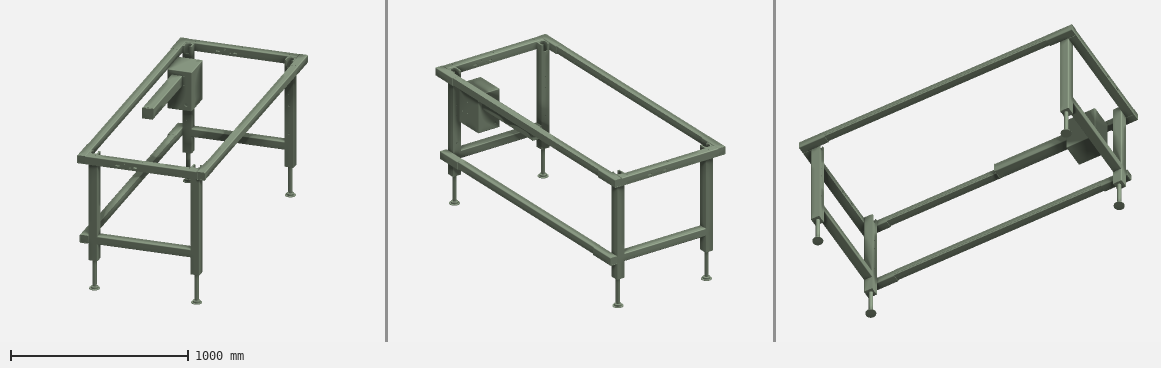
import cadquery as cq

FRAME_WIDTH = 763.0
FRAME_LENGTH = 1765.0
FRAME_HEIGHT = 840.0
EDGE_RADIUS = 5.0
HALF_WIDTH = FRAME_WIDTH / 2
HALF_LENGTH = FRAME_LENGTH / 2

SLEEVE_SIZE = 50.0
UPPER_SLEEVE_LENGTH = 166.0
LOWER_SLEEVE_LENGTH = 170.0
LOWER_SLEEVE_END = 839.0
SLEEVE_WALL = 4.0
SLEEVE_RECESS = 2.0
SLEEVE_INNER_X = HALF_WIDTH - SLEEVE_SIZE

RAIL_SIZE = 45.0
RAIL_DROP = 0.9
RAIL_LIP_HEIGHT = 12.0
LIP_INSET = 1.0
LOWER_LEVEL = 334.0

LEG_SIZE = 55.0
LEG_LIP_DEPTH = 12.0
LEG_BOTTOM = 182.0
LEG_TOP = 837.0
LEG_OUTER_Y = HALF_LENGTH - SLEEVE_SIZE
LEG_CENTER_X = SLEEVE_INNER_X - LEG_SIZE / 2
LEG_CENTER_Y = LEG_OUTER_Y - LEG_SIZE / 2
LEG_POCKET_WIDTH = 39.0
LEG_POCKET_MARGIN = 7.0
LEG_POCKET_FLOOR = 212.0
LEG_SLOT_WIDTH = 28.0
LEG_GROOVE_DEPTH = 2.0
LEG_HOLE_DIAMETER = 9.0
LEG_HOLE_HEIGHTS = [385.0, 560.0, 628.0]

FOOT_CENTER_Y = 803.0
STEM_DIAMETER = 25.0
NECK_DIAMETER = 16.0
HUB_DIAMETER = 42.0
PAD_DIAMETER = 62.0
PAD_HEIGHT = 4.0
HUB_TOP = 15.0
STEM_BOTTOM = 23.0
STEM_EMBED = 18.0
STEM_BORE = 12.0
STEM_BORE_DEPTH = 9.0

TOP_HOLE_DIAMETER = 7.0
TOP_HOLE_OFFSET = 280.0
TOP_HOLE_DEPTH = 5.0
SLOT_HEIGHT = 9.0
SLOT_Z = 810.0
SLOTS = [(-140.0, 26.0), (-35.0, 21.0)]
NOTCH_X = -97.0
NOTCH_Z = 826.0
NOTCH_HEIGHT = 12.0
NOTCH_WIDTH = 5.0
BEAM_HOLE_X = -65.0
BEAM_HOLE_Z = 807.0
BEAM_HOLE_DIAMETER = 7.0

BOX_RIGHT_X = -187.0
BOX_FRONT_Y = 526.0
BOX_BACK_Y = 713.0
BOX_BOTTOM = 556.0
BOX_TOP = 798.0
BOX_EDGE_RADIUS = 4.5
BOX_HOLE_DEPTH = 5.0
SCREW_DIAMETER = 7.0
FRONT_SCREW_X = -233.0
FRONT_SCREW_HEIGHTS = [711.0, 766.0]
PORT_X = -220.0
PORT_Z = 593.0
PORT_DIAMETER = 20.0
SIDE_SCREWS = [(632.0, 770.0), (632.0, 711.0), (681.0, 637.0), (637.0, 637.0)]

DUCT_SIZE = 65.0
DUCT_LEFT_X = -310.0
DUCT_TOP = 768.0
DUCT_END_Y = 28.0
CAP_THICKNESS = 4.0
CAP_NECK_LENGTH = 9.0
CAP_NECK_INSET = 2.0


def block(x_range, y_range, z_range):
    """Box spanning the given coordinate ranges."""
    low = [min(r) for r in (x_range, y_range, z_range)]
    size = [max(r) - min(r) for r in (x_range, y_range, z_range)]
    return cq.Workplane("XY").box(*size, centered=False).translate(tuple(low))


def bore(plane, center, diameter, depth):
    """Cylinder starting at center and running along the plane normal."""
    return cq.Workplane(plane, origin=center).circle(diameter / 2).extrude(depth)


def sleeve(outer_x, inner_x, end_y, length, top):
    """Rounded square sleeve whose outer end has a slightly recessed plug."""
    toward_middle = -1 if end_y > 0 else 1
    body = block(
        (outer_x, inner_x), (end_y, end_y + toward_middle * length), (top - SLEEVE_SIZE, top)
    ).edges("|Y").fillet(EDGE_RADIUS)
    left = min(outer_x, inner_x)
    recess = block(
        (left + SLEEVE_WALL, left + SLEEVE_SIZE - SLEEVE_WALL),
        (end_y, end_y + toward_middle * SLEEVE_RECESS),
        (top - SLEEVE_SIZE + SLEEVE_WALL, top - SLEEVE_WALL),
    )
    return body.cut(recess)


def rail(right_x, half_length, top, rounded_edge):
    """Long rail with one rounded top edge and a narrower lip underneath."""
    left_x = right_x - RAIL_SIZE
    bottom = top - RAIL_SIZE
    along = (-half_length, half_length)
    body = block((left_x, right_x), along, (bottom + RAIL_LIP_HEIGHT, top))
    body = body.faces(">Z").edges(rounded_edge).fillet(EDGE_RADIUS)
    lip = block((left_x + LIP_INSET, right_x - LIP_INSET), along, (bottom, bottom + RAIL_LIP_HEIGHT))
    return body.union(lip)


def foot(stem_top):
    """Round foot: pad, stepped hub, neck and stem, built around the Z axis."""
    return (
        cq.Workplane("XZ")
        .lineTo(PAD_DIAMETER / 2, 0)
        .lineTo(PAD_DIAMETER / 2, PAD_HEIGHT)
        .lineTo(HUB_DIAMETER / 2, PAD_HEIGHT)
        .lineTo(HUB_DIAMETER / 2, HUB_TOP)
        .lineTo(NECK_DIAMETER / 2, HUB_TOP)
        .lineTo(NECK_DIAMETER / 2, STEM_BOTTOM)
        .lineTo(STEM_DIAMETER / 2, STEM_BOTTOM)
        .lineTo(STEM_DIAMETER / 2, stem_top)
        .lineTo(0, stem_top)
        .close()
        .revolve(360, (0, 0, 0), (0, 1, 0))
    )


def leg():
    """Leg at the +X +Y corner, with its open pocket, drilled and grooved inner face, and foot."""
    inner_y = LEG_OUTER_Y - LEG_SIZE
    lip_y = inner_y + LEG_LIP_DEPTH
    left_x = LEG_CENTER_X - LEG_SIZE / 2
    right_x = LEG_CENTER_X + LEG_SIZE / 2
    height = (LEG_BOTTOM, LEG_TOP)
    body = block((left_x, right_x), (lip_y, LEG_OUTER_Y), height)
    body = body.faces(">Y").edges("|Z").fillet(EDGE_RADIUS)
    body = body.union(block((left_x + LIP_INSET, right_x - LIP_INSET), (inner_y, lip_y), height))

    pocket_radius = LEG_POCKET_WIDTH / 2
    pocket = block(
        (LEG_CENTER_X - pocket_radius, LEG_CENTER_X + pocket_radius),
        (inner_y + LEG_POCKET_MARGIN, LEG_CENTER_Y),
        (LEG_POCKET_FLOOR, LEG_TOP),
    ).union(
        bore(
            "XY", (LEG_CENTER_X, LEG_CENTER_Y, LEG_POCKET_FLOOR),
            LEG_POCKET_WIDTH, LEG_TOP - LEG_POCKET_FLOOR,
        )
    )

    slot_x = (LEG_CENTER_X - LEG_SLOT_WIDTH / 2, LEG_CENTER_X + LEG_SLOT_WIDTH / 2)
    groove = block(slot_x, (inner_y, inner_y + LEG_GROOVE_DEPTH), height)
    opening = block(slot_x, (inner_y, LEG_CENTER_Y), (FRAME_HEIGHT - SLEEVE_SIZE, LEG_TOP))

    stem = foot(LEG_BOTTOM + STEM_EMBED).translate((LEG_CENTER_X, FOOT_CENTER_Y, 0))
    bore_center = (LEG_CENTER_X, FOOT_CENTER_Y, LEG_POCKET_FLOOR - STEM_BORE_DEPTH)
    stem_bore = bore("XY", bore_center, STEM_BORE, STEM_BORE_DEPTH)
    body = body.cut(pocket).cut(groove).cut(opening)
    for z in LEG_HOLE_HEIGHTS:
        center = (LEG_CENTER_X, LEG_CENTER_Y, z)
        body = body.cut(bore("XZ", center, LEG_HOLE_DIAMETER, LEG_SIZE / 2))
    return body.union(stem).cut(stem_bore)


def upper_beam():
    """Upper cross beam at +Y, with rounded top edges and top holes."""
    body = block(
        (-SLEEVE_INNER_X, SLEEVE_INNER_X),
        (LEG_OUTER_Y, HALF_LENGTH),
        (FRAME_HEIGHT - SLEEVE_SIZE, FRAME_HEIGHT),
    )
    body = body.faces(">Z").edges("|X").fillet(EDGE_RADIUS)
    for x in (-TOP_HOLE_OFFSET, 0, TOP_HOLE_OFFSET):
        center = (x, HALF_LENGTH - SLEEVE_SIZE / 2, FRAME_HEIGHT - TOP_HOLE_DEPTH)
        body = body.cut(bore("XY", center, TOP_HOLE_DIAMETER, TOP_HOLE_DEPTH))
    return body


def lower_beam():
    """Lower cross beam at +Y, let into the legs past their rounded edges."""
    reach = LEG_CENTER_X - LEG_SIZE / 2 + EDGE_RADIUS
    body = block(
        (-reach, reach),
        (LEG_OUTER_Y - LEG_SIZE, LEG_OUTER_Y),
        (LOWER_LEVEL - SLEEVE_SIZE, LOWER_LEVEL),
    )
    return body.edges("|X").fillet(EDGE_RADIUS)


def beam_openings():
    """Slots and holes that pass lengthwise through both upper beams."""
    start = cq.Workplane("XZ", origin=(0, HALF_LENGTH, 0))
    openings = start.center(BEAM_HOLE_X, BEAM_HOLE_Z).circle(BEAM_HOLE_DIAMETER / 2).extrude(FRAME_LENGTH)
    notch = start.center(NOTCH_X, NOTCH_Z).slot2D(NOTCH_HEIGHT, NOTCH_WIDTH, 90).extrude(FRAME_LENGTH)
    openings = openings.union(notch)
    for x, length in SLOTS:
        openings = openings.union(
            start.center(x, SLOT_Z).slot2D(length, SLOT_HEIGHT).extrude(FRAME_LENGTH)
        )
    return openings


def control_box():
    """Control box with shallow screw holes and a cable port, its side against the rail lip."""
    left_x = -SLEEVE_INNER_X - LIP_INSET
    body = block((left_x, BOX_RIGHT_X), (BOX_FRONT_Y, BOX_BACK_Y), (BOX_BOTTOM, BOX_TOP))
    body = body.edges("not <X").fillet(BOX_EDGE_RADIUS)
    for z in FRONT_SCREW_HEIGHTS:
        center = (FRONT_SCREW_X, BOX_FRONT_Y + BOX_HOLE_DEPTH, z)
        body = body.cut(bore("XZ", center, SCREW_DIAMETER, BOX_HOLE_DEPTH))
    port_center = (PORT_X, BOX_FRONT_Y + BOX_HOLE_DEPTH, PORT_Z)
    body = body.cut(bore("XZ", port_center, PORT_DIAMETER, BOX_HOLE_DEPTH))
    for y, z in SIDE_SCREWS:
        body = body.cut(bore("YZ", (left_x, y, z), SCREW_DIAMETER, BOX_HOLE_DEPTH))
    return body


def cable_duct():
    """Square duct with rounded long edges, ending in a necked cap."""
    x_range = (DUCT_LEFT_X, DUCT_LEFT_X + DUCT_SIZE)
    z_range = (DUCT_TOP - DUCT_SIZE, DUCT_TOP)
    cap_y = DUCT_END_Y + CAP_THICKNESS
    body_y = cap_y + CAP_NECK_LENGTH
    body = block(x_range, (body_y, BOX_FRONT_Y), z_range).edges("|Y").fillet(EDGE_RADIUS)
    neck = block(
        (x_range[0] + CAP_NECK_INSET, x_range[1] - CAP_NECK_INSET),
        (cap_y, body_y),
        (z_range[0] + CAP_NECK_INSET, z_range[1] - CAP_NECK_INSET),
    )
    cap = block(x_range, (DUCT_END_Y, cap_y), z_range)
    return body.union(neck).union(cap)


right_leg = leg()
end_frame = upper_beam().union(lower_beam()).union(right_leg).union(right_leg.mirror("YZ"))
result = end_frame.union(end_frame.mirror("XZ")).cut(beam_openings())

for end in (-1, 1):
    for side in (-1, 1):
        result = result.union(
            sleeve(
                side * HALF_WIDTH, side * SLEEVE_INNER_X, end * HALF_LENGTH,
                UPPER_SLEEVE_LENGTH, FRAME_HEIGHT,
            )
        )
    result = result.union(
        sleeve(-HALF_WIDTH, -SLEEVE_INNER_X, end * LOWER_SLEEVE_END, LOWER_SLEEVE_LENGTH, LOWER_LEVEL)
    )

upper_rail_top = FRAME_HEIGHT - RAIL_DROP
lower_rail_top = LOWER_LEVEL - RAIL_DROP
upper_half_length = HALF_LENGTH - UPPER_SLEEVE_LENGTH
lower_half_length = LOWER_SLEEVE_END - LOWER_SLEEVE_LENGTH
result = result.union(rail(-SLEEVE_INNER_X, upper_half_length, upper_rail_top, ">X"))
result = result.union(rail(HALF_WIDTH, upper_half_length, upper_rail_top, ">X"))
result = result.union(rail(-SLEEVE_INNER_X, lower_half_length, lower_rail_top, "<X"))

result = result.union(control_box()).union(cable_duct())